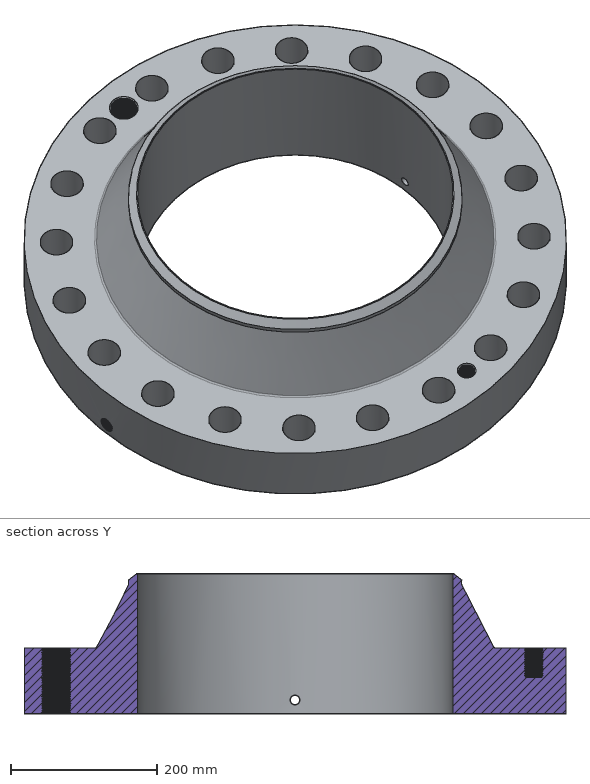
import cadquery as cq
import math

FLANGE_DIAMETER = 742.95
FLANGE_THICKNESS = 90.47
TOTAL_HEIGHT = 192.07
BORE_DIAMETER = 431.8

HUB_BASE_DIAMETER = 546.1
WELD_END_DIAMETER = 457.2
WELD_END_LENGTH = 6.35
ROOT_FACE = 1.6
BEVEL_ANGLE = 37.5
HUB_FILLET = 3.0

BOLT_COUNT = 20
BOLT_CIRCLE_DIAMETER = 654.05
BOLT_HOLE_DIAMETER = 44.45

THREAD_HALF_ANGLE = 30
THREAD_DEPTH_PER_PITCH = 0.541

JACK_HOLE_OFFSET = 327.0
JACK_THREAD_DIAMETER = 39.2
JACK_THREAD_PITCH = 3.175

LIFT_HOLE_OFFSET = 327.0
LIFT_THREAD_DIAMETER = 25.4
LIFT_THREAD_PITCH = 3.175
LIFT_HOLE_DEPTH = 40.0

TAP_HEIGHT = 19.05
TAP_BORE_DIAMETER = 12.7
TAP_THREAD_DIAMETER = 21.34
TAP_THREAD_PITCH = 1.814
TAP_THREAD_LENGTH = 20.0

bore_radius = BORE_DIAMETER / 2
flange_radius = FLANGE_DIAMETER / 2
weld_end_radius = WELD_END_DIAMETER / 2
root_face_radius = bore_radius + ROOT_FACE
bevel_height = (weld_end_radius - root_face_radius) * math.tan(math.radians(BEVEL_ANGLE))
bevel_start = TOTAL_HEIGHT - bevel_height
taper_end = bevel_start - WELD_END_LENGTH


def flange_body():
    """Revolve the ring, tapered hub, weld end and bore about Z, then fillet the hub root."""
    profile = (
        cq.Workplane("XZ")
        .moveTo(bore_radius, 0)
        .lineTo(flange_radius, 0)
        .lineTo(flange_radius, FLANGE_THICKNESS)
        .lineTo(HUB_BASE_DIAMETER / 2, FLANGE_THICKNESS)
        .lineTo(weld_end_radius, taper_end)
        .lineTo(weld_end_radius, bevel_start)
        .lineTo(root_face_radius, TOTAL_HEIGHT)
        .lineTo(bore_radius, TOTAL_HEIGHT)
        .close()
    )
    body = profile.revolve(360, (0, 0, 0), (0, 1, 0))
    hub_root = cq.selectors.RadiusNthSelector(-2)
    return body.edges("%CIRCLE").edges(hub_root).fillet(HUB_FILLET)


def bolt_holes():
    """Through holes on the bolt circle, half a pitch off the axes."""
    return (
        cq.Workplane("XY")
        .polarArray(BOLT_CIRCLE_DIAMETER / 2, 180 / BOLT_COUNT, 360, BOLT_COUNT)
        .circle(BOLT_HOLE_DIAMETER / 2)
        .extrude(FLANGE_THICKNESS)
    )


def threaded_hole(diameter, pitch, depth):
    """Cutter going down from Z = 0: countersunk mouth, then evenly spaced V grooves."""
    major_radius = diameter / 2
    groove_depth = THREAD_DEPTH_PER_PITCH * pitch
    minor_radius = major_radius - groove_depth
    groove_half_width = groove_depth * math.tan(math.radians(THREAD_HALF_ANGLE))
    groove_count = math.floor((depth - groove_half_width) / pitch)

    profile = (
        cq.Workplane("XZ")
        .lineTo(major_radius, 0)
        .lineTo(minor_radius, -groove_depth)
    )
    for groove in range(1, groove_count + 1):
        root = -groove * pitch
        profile = (
            profile
            .lineTo(minor_radius, root + groove_half_width)
            .lineTo(major_radius, root)
            .lineTo(minor_radius, root - groove_half_width)
        )
    profile = profile.lineTo(minor_radius, -depth).lineTo(0, -depth).close()
    return profile.revolve(360, (0, 0, 0), (0, 1, 0))


def jack_screw_hole():
    """Threaded through hole on the -X side."""
    hole = threaded_hole(JACK_THREAD_DIAMETER, JACK_THREAD_PITCH, FLANGE_THICKNESS)
    return hole.translate((-JACK_HOLE_OFFSET, 0, FLANGE_THICKNESS))


def lifting_hole():
    """Blind threaded hole on the +X side."""
    hole = threaded_hole(LIFT_THREAD_DIAMETER, LIFT_THREAD_PITCH, LIFT_HOLE_DEPTH)
    return hole.translate((LIFT_HOLE_OFFSET, 0, FLANGE_THICKNESS))


def pressure_taps():
    """Plain bore along Y through both walls, with a threaded mouth at each end."""
    taps = (
        cq.Workplane("XZ")
        .circle(TAP_BORE_DIAMETER / 2)
        .extrude(flange_radius, both=True)
    )
    mouth = threaded_hole(TAP_THREAD_DIAMETER, TAP_THREAD_PITCH, TAP_THREAD_LENGTH)
    for tilt in (90, -90):
        turned = mouth.translate((0, 0, flange_radius)).rotate((0, 0, 0), (1, 0, 0), tilt)
        taps = taps.union(turned)
    return taps.translate((0, 0, TAP_HEIGHT))


result = (
    flange_body()
    .cut(bolt_holes())
    .cut(jack_screw_hole())
    .cut(lifting_hole())
    .cut(pressure_taps())
)